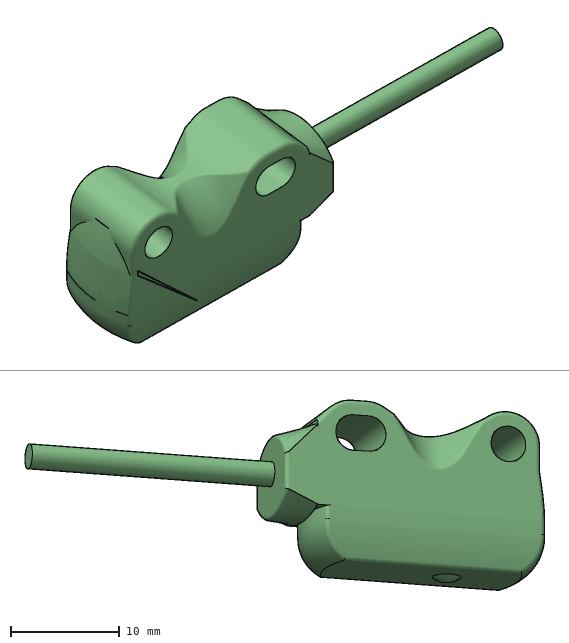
import cadquery as cq
import math


width = 9.1
half_width = width / 2
body_length = 22.8
height = 15.1
edge_round = 0.5
lower_edge_round = 0.4

hole_diameter = 3.35
lobe_radius = 3.15
lobe_z = height - lobe_radius
hole_y = 4.4
slot_y = 18.65
slot_travel = 1.5
slot_front_y = slot_y - slot_travel / 2
slot_rear_y = slot_y + slot_travel / 2
lobe_front_y = hole_y - lobe_radius

saddle_y = (hole_y + slot_front_y) / 2
saddle_z = 13.1
groove_bottom_z = 9.1
groove_bottom_radius = 3.45
groove_wall_angle = 48
groove_path_radius = 10.85
groove_mouth_slope = 60
groove_depth = 5.95

taper_start_z = 4.9
side_taper_radius = 14.8
end_plan_radius = body_length / 2
end_bottom_z = 3.65
end_bottom_radius = 4.2
nose_radius = 24.7

collar_end_y = 25.95
collar_bottom_z = 4.3
collar_end_top_z = 12.1
collar_end_side_bottom_z = 6.25
collar_edge_round = 0.35

button_y = 8.95
button_radius = 1.35
button_height = 0.45

sliver_tip = (10.75, 3.65, 9.3)
sliver_root_y = 1.7
sliver_root_x = 4.2
sliver_root_z = 9.7
sliver_root_height = 0.6
sliver_thickness = 0.1

cable_diameter = 2.3
cable_z = 8.55
overall_length = 49.4

diagonal = math.sqrt(0.5)
lobe_slope_y = slot_rear_y + lobe_radius * diagonal
lobe_slope_z = lobe_z + lobe_radius * diagonal


def slope_z(y):
    """Height of the 45 degree slope behind the rear lobe."""
    return lobe_slope_z - (y - lobe_slope_y)


def side_extrusion(outline):
    """Extrude a closed YZ outline across the full width."""
    return outline.extrude(half_width, both=True)


def make_lobes():
    """Upper body: two lobes joined by a saddle, with a sloped rear."""
    half_span = (slot_front_y - hole_y) / 2
    drop = saddle_z - lobe_z
    saddle_radius = (half_span**2 + drop**2 - lobe_radius**2) / (2 * (lobe_radius - drop))
    share = lobe_radius / (lobe_radius + saddle_radius)
    tangent_offset = half_span * share
    tangent_z = lobe_z + (saddle_z + saddle_radius - lobe_z) * share
    rear_crest = math.radians(45) / 2
    saddle_lean = math.asin(tangent_offset / lobe_radius)
    outline = (
        cq.Workplane("YZ")
        .moveTo(lobe_front_y, taper_start_z)
        .lineTo(lobe_front_y, lobe_z)
        .threePointArc((hole_y, height), (hole_y + tangent_offset, tangent_z))
        .threePointArc((saddle_y, saddle_z), (slot_front_y - tangent_offset, tangent_z))
        .threePointArc(
            (
                slot_front_y - lobe_radius * math.sin(saddle_lean / 2),
                lobe_z + lobe_radius * math.cos(saddle_lean / 2),
            ),
            (slot_front_y, height),
        )
        .lineTo(slot_rear_y, height)
        .threePointArc(
            (slot_rear_y + lobe_radius * math.sin(rear_crest), lobe_z + lobe_radius * math.cos(rear_crest)),
            (lobe_slope_y, lobe_slope_z),
        )
        .lineTo(body_length, slope_z(body_length))
        .lineTo(body_length, taper_start_z)
        .close()
    )
    lobes = side_extrusion(outline)
    return lobes.faces("<X or >X").edges("not <Z").edges("not >Y").fillet(edge_round)


def revolve_end(outline):
    """Turn an end profile (radius, Z) about the upright axis through the middle of the body."""
    return outline.close().revolve(360, (0, 0), (0, 1)).translate((0, end_plan_radius, 0))


def bottom_round(outline):
    """Continue an end profile from its widest point down to the underside and back to the axis."""
    center_r = end_plan_radius - end_bottom_radius
    end_angle = math.asin(end_bottom_z / end_bottom_radius)
    return (
        outline.threePointArc(
            (
                center_r + end_bottom_radius * math.cos(end_angle / 2),
                end_bottom_z - end_bottom_radius * math.sin(end_angle / 2),
            ),
            (center_r + end_bottom_radius * math.cos(end_angle), 0),
        )
        .lineTo(0, 0)
    )


def y_slab(y_start, y_end):
    """Block over the full width and height between two Y positions."""
    slab = cq.Workplane("XY").box(width, y_end - y_start, height, centered=(True, False, False))
    return slab.translate((0, y_start, 0))


def make_nose():
    """Front end: its upper profile is an arc tangent to the front lobe."""
    center_r = end_plan_radius - nose_radius
    lobe_r = end_plan_radius - hole_y
    lean = math.atan2(lobe_z - taper_start_z, lobe_r - center_r)
    top = (center_r + nose_radius * math.cos(lean), taper_start_z + nose_radius * math.sin(lean))
    middle = (
        center_r + nose_radius * math.cos(lean / 2),
        taper_start_z + nose_radius * math.sin(lean / 2),
    )
    outline = (
        cq.Workplane("XZ")
        .moveTo(0, top[1])
        .lineTo(*top)
        .threePointArc(middle, (end_plan_radius, taper_start_z))
        .lineTo(end_plan_radius, end_bottom_z)
    )
    return revolve_end(bottom_round(outline)).intersect(y_slab(0, hole_y))


def make_tail():
    """Lower part of the body behind the nose, with an upright round rear end."""
    outline = (
        cq.Workplane("XZ")
        .moveTo(0, taper_start_z)
        .lineTo(end_plan_radius, taper_start_z)
        .lineTo(end_plan_radius, end_bottom_z)
    )
    return revolve_end(bottom_round(outline)).intersect(y_slab(hole_y, body_length))


def make_cross_section():
    """Full-length prism whose sides curve inward below the taper line."""

    def inset(z):
        return side_taper_radius - math.sqrt(side_taper_radius**2 - (taper_start_z - z) ** 2)

    bottom = half_width - inset(0)
    middle_z = taper_start_z / 2
    middle = half_width - inset(middle_z)
    return (
        cq.Workplane("XZ")
        .moveTo(-half_width, height)
        .lineTo(-half_width, taper_start_z)
        .threePointArc((-middle, middle_z), (-bottom, 0))
        .lineTo(bottom, 0)
        .threePointArc((middle, middle_z), (half_width, taper_start_z))
        .lineTo(half_width, height)
        .close()
        .extrude(-body_length)
    )


def collar_section(y, side_bottom, side_top, top):
    """Barrel-shaped collar outline at one Y position."""
    return (
        cq.Workplane("XZ", origin=(0, y, 0))
        .moveTo(-half_width, side_bottom)
        .lineTo(-half_width, side_top)
        .threePointArc((0, top), (half_width, side_top))
        .lineTo(half_width, side_bottom)
        .threePointArc((0, collar_bottom_z), (-half_width, side_bottom))
        .close()
        .wires()
        .val()
    )


def make_collar():
    front_side_z = slope_z(body_length) - edge_round
    end_side_z = slope_z(collar_end_y) - edge_round
    front = collar_section(body_length, taper_start_z, front_side_z, slope_z(body_length))
    end = collar_section(collar_end_y, collar_end_side_bottom_z, end_side_z, collar_end_top_z)
    collar = cq.Workplane(cq.Solid.makeLoft([front, end], True))
    return collar.faces(">Y").edges().fillet(collar_edge_round)


def make_groove(side):
    """V groove with a round bottom, turned about a Y-parallel axis so that it climbs from one side."""
    wall = math.radians(groove_wall_angle)
    tangent_y = groove_bottom_radius * math.sin(wall)
    tangent_depth = groove_bottom_radius * (1 - math.cos(wall))
    top_y = tangent_y + (groove_depth - tangent_depth) / math.tan(wall)
    mouth = math.radians(groove_mouth_slope)
    axis_x = half_width - groove_path_radius * math.sin(mouth)
    axis_z = groove_bottom_z - groove_path_radius * math.cos(mouth)
    groove = (
        cq.Workplane("XY")
        .moveTo(groove_path_radius + groove_depth, -top_y)
        .lineTo(groove_path_radius + tangent_depth, -tangent_y)
        .threePointArc((groove_path_radius, 0), (groove_path_radius + tangent_depth, tangent_y))
        .lineTo(groove_path_radius + groove_depth, top_y)
        .close()
        .revolve(90, (0, 0), (0, -1))
        .translate((axis_x, saddle_y, axis_z))
    )
    return groove if side > 0 else groove.mirror("YZ")


def cut_grooves(body):
    """Cut both grooves and round their mouths."""
    for side in (-1, 1):
        body = body.cut(make_groove(side))

    def is_mouth(edge):
        center = edge.Center()
        return hole_y < center.y < slot_front_y and center.z > taper_start_z

    side_edges = body.faces("<X or >X").edges()
    return side_edges.filter(is_mouth).fillet(lower_edge_round)


def make_mounting_holes():
    hole = cq.Workplane("YZ").center(hole_y, lobe_z).circle(hole_diameter / 2)
    slot = cq.Workplane("YZ").center(slot_y, lobe_z).slot2D(slot_travel + hole_diameter, hole_diameter)
    return side_extrusion(hole).union(side_extrusion(slot))


def make_button():
    """Shallow spherical cap under the body."""
    ball_radius = (button_radius**2 + button_height**2) / (2 * button_height)
    ball = cq.Workplane("XY").sphere(ball_radius).translate((0, button_y, ball_radius - button_height))
    rim = cq.Workplane("XY", origin=(0, button_y, -button_height)).circle(button_radius)
    return ball.intersect(rim.extrude(2 * button_height))


def make_sliver():
    """Triangular fin running from the side of the nose out to a point."""
    root = cq.Vector(sliver_root_x, sliver_root_y, sliver_root_z)
    half_rise = cq.Vector(0, 0, sliver_root_height / 2)
    wire = cq.Wire.makePolygon([root - half_rise, cq.Vector(*sliver_tip), root + half_rise], close=True)
    return cq.Workplane(cq.Solid.extrudeLinear(wire, [], cq.Vector(0, sliver_thickness, 0)))


def make_lower_body():
    """Nose and tail with inward-curving sides, rounded where the sides meet the ends and the underside."""
    lower = make_nose().union(make_tail()).intersect(make_cross_section())

    def is_outer(edge):
        box = edge.BoundingBox()
        on_side = abs(edge.Center().x) > half_width / 2
        on_end = box.ymax < hole_y or box.ymin > slot_y
        runs_along_bottom = box.zmax < lower_edge_round
        return on_side and (on_end or runs_along_bottom)

    return lower.edges().filter(is_outer).fillet(lower_edge_round)


def make_housing():
    body = make_lower_body().union(make_lobes()).union(make_collar())
    body = cut_grooves(body).cut(make_mounting_holes())
    return body.union(make_button()).union(make_sliver())


def make_cable():
    return (
        cq.Workplane("XZ", origin=(0, collar_end_y, cable_z))
        .circle(cable_diameter / 2)
        .extrude(collar_end_y - overall_length)
    )


housing = make_housing()
cable = make_cable()
result = cq.Compound.makeCompound([housing.val(), cable.val()])